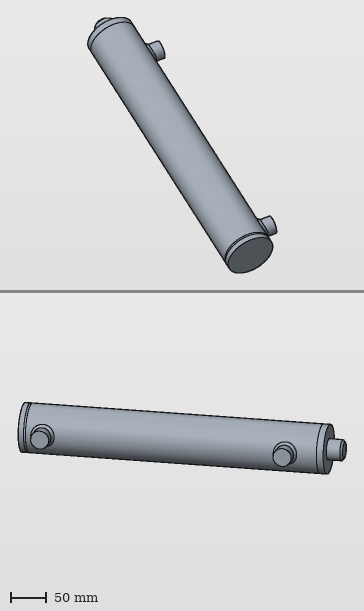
import cadquery as cq

total_length = 460.0
outer_diameter = 70.0
outer_radius = outer_diameter / 2

rod_diameter = 30.0
rod_chamfer = 3.0
rod_exposed_length = 22.5

gland_length = 9.5
end_weld_length = 2.8
cap_length = 8.0

port_diameter = 26.0
port_tip = 87.0 - outer_radius
front_port_offset = 54.7
rear_port_offset = 35.0
port_weld_size = 3.5

rod_tip_x = -total_length / 2
gland_x = rod_tip_x + rod_exposed_length
barrel_x = gland_x + gland_length
rear_end_x = total_length / 2
cap_x = rear_end_x - cap_length
end_weld_x = cap_x - end_weld_length
port_positions = [gland_x + front_port_offset, rear_end_x - rear_port_offset]


def x_cylinder(diameter, start_x, end_x):
    """Solid cylinder on the X axis between two stations."""
    return cq.Workplane("YZ", origin=(start_x, 0, 0)).circle(diameter / 2).extrude(end_x - start_x)


def make_rod():
    """Rod with a chamfered tip, passing through the gland to the barrel."""
    return x_cylinder(rod_diameter, rod_tip_x, barrel_x).faces("<X").chamfer(rod_chamfer)


def make_gland():
    """Front ring that the rod passes through."""
    bore = x_cylinder(rod_diameter, gland_x, barrel_x)
    return x_cylinder(outer_diameter, gland_x, barrel_x).cut(bore)


def make_port(port_x):
    """Round port whose inner end is saddled onto the barrel."""
    port = cq.Workplane("XZ", origin=(port_x, 0, 0)).circle(port_diameter / 2).extrude(-port_tip)
    return port.cut(barrel)


def make_port_weld(port_x, port):
    """Bevelled bead filling the corner where the port meets the barrel."""
    joined = barrel.union(port)
    reach = port_diameter / 2 + port_weld_size
    seam = joined.edges(cq.selectors.BoxSelector(
        (port_x - reach, 0, -reach),
        (port_x + reach, outer_radius + port_weld_size, reach),
    ))
    return seam.chamfer(port_weld_size).cut(barrel).cut(port)


rod = make_rod()
gland = make_gland()
barrel = x_cylinder(outer_diameter, barrel_x, end_weld_x)
end_weld = x_cylinder(outer_diameter, end_weld_x, cap_x)
end_cap = x_cylinder(outer_diameter, cap_x, rear_end_x)

ports = []
port_welds = []
for position in port_positions:
    port = make_port(position)
    ports.extend(port.solids().vals())
    port_welds.extend(make_port_weld(position, port).solids().vals())

result = cq.Compound.makeCompound([
    rod.val(),
    gland.solids().val(),
    barrel.val(),
    end_weld.val(),
    end_cap.val(),
    *ports,
    *port_welds,
])